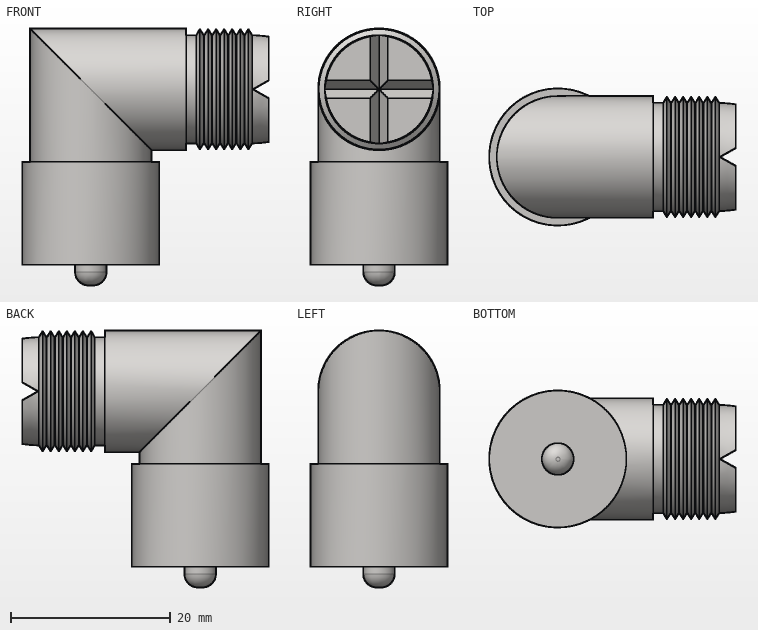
import cadquery as cq


collar_radius = 8.63
collar_height = 12.93

pin_radius = 2.0
pin_length = 2.62
pin_rounding = 1.75

overall_height = 32.32
elbow_radius = 7.65
elbow_end_x = 12.0
axis_z = overall_height - pin_length - elbow_radius

overall_length = 31.0
nose_end_x = overall_length - collar_radius
nose_radius = 6.82
nose_tip_radius = 6.72

ring_count = 7
ring_width = 0.95
ring_radius = 7.55
thread_start_x = 13.25
thread_length = 7.0
ring_pitch = (thread_length - ring_width) / (ring_count - 1)

notch_depth = 1.97
notch_width = 2.23


def make_elbow():
    """Two equal cylinders joined on a 45 degree mitre plane through their axes' crossing."""
    top_z = axis_z + elbow_radius
    vertical = cq.Workplane("XY").circle(elbow_radius).extrude(top_z)
    horizontal = (
        cq.Workplane("YZ", origin=(-elbow_radius, 0, axis_z))
        .circle(elbow_radius)
        .extrude(elbow_radius + elbow_end_x)
    )
    below_mitre = (
        cq.Workplane("XZ")
        .moveTo(-elbow_radius, top_z)
        .lineTo(-elbow_radius, 0)
        .lineTo(elbow_radius, 0)
        .lineTo(elbow_radius, axis_z - elbow_radius)
        .close()
        .extrude(elbow_radius, both=True)
    )
    return vertical.intersect(below_mitre).union(horizontal.cut(below_mitre))


def make_collar():
    return cq.Workplane("XY").circle(collar_radius).extrude(collar_height)


def make_pin():
    return (
        cq.Workplane("XY")
        .circle(pin_radius)
        .extrude(-pin_length)
        .faces("<Z")
        .edges()
        .fillet(pin_rounding)
    )


def make_nose():
    """Revolved nose: plain neck, thread rings, then a slight taper to the end."""
    profile = cq.Workplane("XZ", origin=(0, 0, axis_z)).moveTo(0, 0).lineTo(0, nose_radius)
    for index in range(ring_count):
        ring_start_x = thread_start_x + index * ring_pitch
        profile = (
            profile.lineTo(ring_start_x, nose_radius)
            .lineTo(ring_start_x + ring_width / 2, ring_radius)
            .lineTo(ring_start_x + ring_width, nose_radius)
        )
    profile = profile.lineTo(nose_end_x, nose_tip_radius).lineTo(nose_end_x, 0).close()
    return profile.revolve(360, (0, 0, 0), (1, 0, 0))


def make_notch():
    """V groove along Y across the end of the nose."""
    return (
        cq.Workplane("XZ", origin=(nose_end_x, 0, axis_z))
        .moveTo(-notch_depth, 0)
        .lineTo(0, notch_width / 2)
        .lineTo(0, -notch_width / 2)
        .close()
        .extrude(nose_radius, both=True)
    )


result = make_elbow().union(make_collar()).union(make_pin()).union(make_nose())
for angle in (0, 90):
    result = result.cut(make_notch().rotate((0, 0, axis_z), (1, 0, axis_z), angle))